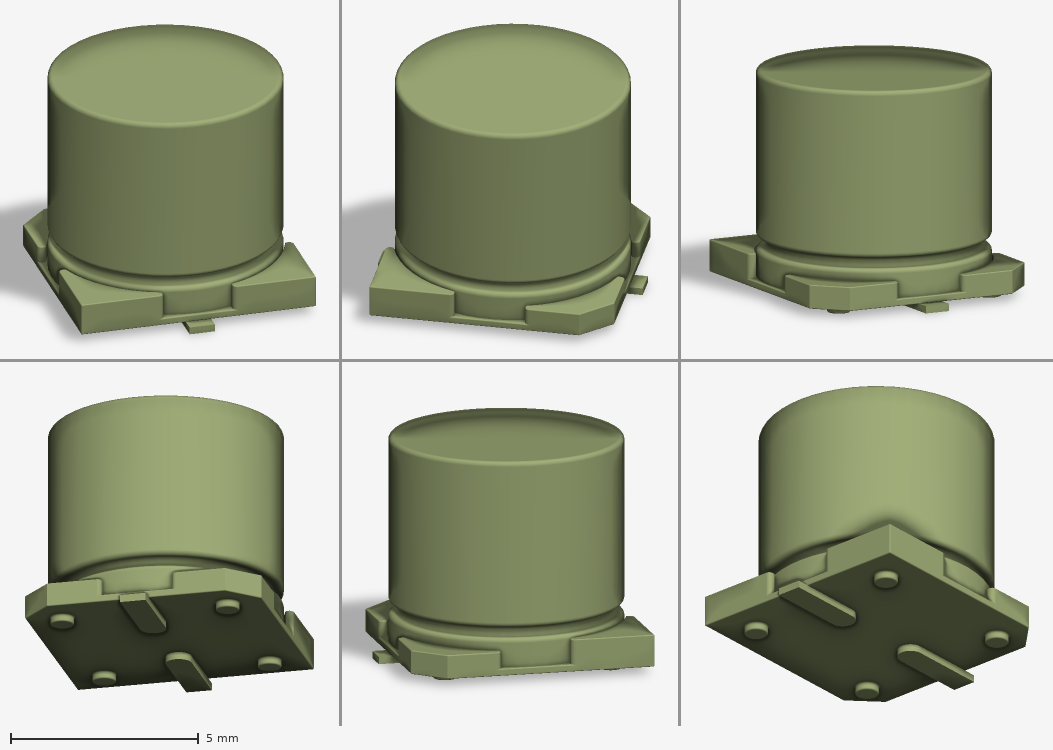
import cadquery as cq
import math

total_height = 6.0
lead_span = 7.2
base_size = 6.5
can_diameter = 6.3

standoff = 0.2
floor_top = 0.39
low_corner_top = 0.85
high_corner_top = 1.075
corner_bevel = 0.8
window_half_width = 0.965
seat_clearance = 0.04
wall_nose_radius = 0.125
wall_tip_radius = 0.05
edge_radius = 0.03

can_edge_radius = 0.125
groove_diameter = 5.67
groove_bottom = 1.17
groove_top = 1.465

lead_width = 0.7
lead_inner_end = 1.04
pin_diameter = 0.63
pin_position = 2.275
pin_edge_radius = 0.04

half_base = base_size / 2
half_span = lead_span / 2
can_radius = can_diameter / 2
groove_radius = groove_diameter / 2
pin_radius = pin_diameter / 2
seat_radius = can_radius + seat_clearance
diagonal = math.sqrt(0.5)


def base_plate():
    """Thin floor of the base, with two bevelled corners on the -X side."""
    plate = (
        cq.Workplane("XY", origin=(0, 0, standoff))
        .rect(base_size, base_size)
        .extrude(floor_top - standoff)
    )
    plate = plate.edges("|Z and <X").chamfer(corner_bevel)
    plate = plate.edges("|Z and >X").fillet(edge_radius)
    return plate.faces("<Z or >Z").edges().fillet(edge_radius)


def corner_wall(x_side, y_side):
    """Wall block filling one corner of the base, hollowed to receive the can."""
    top = low_corner_top if x_side < 0 else high_corner_top
    width = half_base - window_half_width
    center = (half_base + window_half_width) / 2
    bottom = standoff + edge_radius
    block = (
        cq.Workplane("XY", origin=(0, 0, bottom))
        .center(x_side * center, y_side * center)
        .rect(width, width)
        .extrude(top - bottom)
    )
    corner_selector = cq.NearestToPointSelector((x_side * half_base, y_side * half_base, bottom))
    outer_corner = block.edges("|Z").edges(corner_selector)
    if x_side < 0:
        block = outer_corner.chamfer(corner_bevel)
    else:
        block = outer_corner.fillet(edge_radius)

    seat = cq.Workplane("XY").circle(seat_radius).extrude(total_height)
    block = block.cut(seat)

    seat_reach = math.sqrt(seat_radius**2 - window_half_width**2)
    middle = (bottom + top) / 2
    for reach, radius in ((half_base, wall_nose_radius), (seat_reach, wall_tip_radius)):
        for x, y in ((window_half_width, reach), (reach, window_half_width)):
            end_edge = cq.NearestToPointSelector((x_side * x, y_side * y, middle))
            block = block.edges("|Z").edges(end_edge).fillet(radius)
    return block.faces(">Z").edges().fillet(edge_radius)


def can():
    """Revolved can with a rounded top rim and a crimp groove near the base."""
    r = can_edge_radius
    arc_offset = r * (1 - diagonal)
    groove_outer = groove_radius + r
    lip = can_radius - r
    profile = (
        cq.Workplane("XZ")
        .moveTo(0, standoff)
        .lineTo(can_radius, standoff)
        .lineTo(can_radius, groove_bottom - r)
        .threePointArc((can_radius - arc_offset, groove_bottom - arc_offset), (lip, groove_bottom))
        .lineTo(groove_outer, groove_bottom)
        .threePointArc(
            (groove_radius + arc_offset, groove_bottom + arc_offset),
            (groove_radius, groove_bottom + r),
        )
        .lineTo(groove_radius, groove_top - r)
        .threePointArc(
            (groove_radius + arc_offset, groove_top - arc_offset),
            (groove_outer, groove_top),
        )
        .lineTo(lip, groove_top)
        .threePointArc((can_radius - arc_offset, groove_top + arc_offset), (can_radius, groove_top + r))
        .lineTo(can_radius, total_height - r)
        .threePointArc((can_radius - arc_offset, total_height - arc_offset), (lip, total_height))
        .lineTo(0, total_height)
        .close()
    )
    return profile.revolve(360, (0, 0, 0), (0, 1, 0))


def lead(x_side):
    """Flat lead under the base, with a fully rounded inner end."""
    half_width = lead_width / 2
    arc_start = lead_inner_end + half_width
    return (
        cq.Workplane("XY")
        .moveTo(x_side * half_span, -half_width)
        .lineTo(x_side * arc_start, -half_width)
        .threePointArc((x_side * lead_inner_end, 0), (x_side * arc_start, half_width))
        .lineTo(x_side * half_span, half_width)
        .close()
        .extrude(standoff)
    )


def standoff_pin(x_side, y_side):
    """Round foot with a rounded lower edge and a flared root at the base."""
    r = pin_edge_radius
    arc_offset = r * (1 - diagonal)
    profile = (
        cq.Workplane("XZ")
        .moveTo(0, 0)
        .lineTo(pin_radius - r, 0)
        .threePointArc((pin_radius - arc_offset, arc_offset), (pin_radius, r))
        .lineTo(pin_radius, standoff - r)
        .threePointArc((pin_radius + arc_offset, standoff - arc_offset), (pin_radius + r, standoff))
        .lineTo(0, standoff)
        .close()
    )
    pin = profile.revolve(360, (0, 0, 0), (0, 1, 0))
    return pin.translate((x_side * pin_position, y_side * pin_position, 0))


result = base_plate().union(can())
for x_sign in (-1, 1):
    result = result.union(lead(x_sign))
    for y_sign in (-1, 1):
        result = result.union(corner_wall(x_sign, y_sign))
        result = result.union(standoff_pin(x_sign, y_sign))